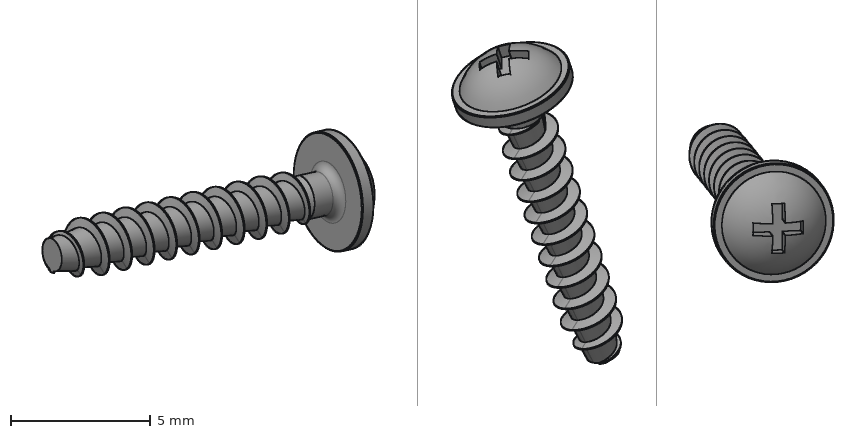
import cadquery as cq
import math


flange_radius = 2.2
flange_thickness = 0.52
flange_edge = 0.04
dome_radius = 1.9
dome_apex_y = 1.585
recess_width = 0.46
recess_span = 1.83
recess_depth = 0.7

length = 12.0
shank_radius = 0.81
shank_length = 1.12
neck_fillet = 0.33

shoulder_radius = 0.765
root_radius = 0.67
tip_shoulder_radius = 0.61
tip_root_radius = 0.59
core_taper_start = 9.4
core_taper_end = 10.4

pitch = 0.98
first_crest_y = -1.705
thread_radius = 1.1
crest_width = 0.05
flank_angle = 15.0
full_start = 0.25
start_drop_per_turn = 0.24
greatest_start_drop = 0.25
full_end = 9.1
runout_end = 10.5
last_crest_radius = 0.66

skin_start = -2.4
skin_turns = 14

lead_in_margin = 0.1
lead_in_inner_radius = 0.3
least_lead_in = 0.03

points_per_turn = 16


def crest_y(turn):
    return first_crest_y - pitch * turn


def progress(turn, start, end):
    """Fraction of the way from start to end, held at 0 before and at 1 after."""
    return min(1, max(0, (turn - start) / (end - start)))


def core_taper(turn, full_radius, tip_radius):
    fraction = progress(turn, core_taper_start, core_taper_end)
    return full_radius + (tip_radius - full_radius) * fraction


def crest_radius(turn):
    start_drop = min(greatest_start_drop, max(0, full_start - turn) * start_drop_per_turn)
    end_drop = (thread_radius - last_crest_radius) * progress(turn, full_end, runout_end)
    return thread_radius - start_drop - end_drop


def half_width(turn, radius):
    """Half the axial width of the ridge at a radius."""
    return crest_width / 2 + (crest_radius(turn) - radius) * math.tan(math.radians(flank_angle))




def root(turn):
    radius = core_taper(turn, root_radius, tip_root_radius)
    return radius, crest_y(turn) + half_width(turn, radius)


def upper_crest(turn):
    return crest_radius(turn), crest_y(turn) + crest_width / 2


def lower_crest(turn):
    return crest_radius(turn), crest_y(turn) - crest_width / 2


def shoulder(turn):
    radius = core_taper(turn, shoulder_radius, tip_shoulder_radius)
    return radius, crest_y(turn) - half_width(turn, radius)


def next_root(turn):
    return root(turn + 1)




def lead_in_bottom_y(turn):
    return crest_y(turn) + lead_in_margin


def lead_in_inner_top(turn):
    return lead_in_inner_radius, -shank_length


def lead_in_shank(turn):
    return shank_radius, -shank_length


def lead_in_root(turn):
    return root_radius, lead_in_bottom_y(turn)


def lead_in_inner_bottom(turn):
    return lead_in_inner_radius, lead_in_bottom_y(turn)




def on_screw(point, turn):
    radius, y = point
    angle = -2 * math.pi * turn
    return cq.Vector(radius * math.sin(angle), y, radius * math.cos(angle))


def rail(corner, start, end):
    """Curve that a corner traces between two turns."""
    steps = math.ceil((end - start) * points_per_turn)
    turns = [start + (end - start) * i / steps for i in range(steps + 1)]
    return cq.Edge.makeSpline([on_screw(corner(turn), turn) for turn in turns])


def ruled_faces(corners, start, end):
    """Faces between the curves of neighbouring corners."""
    rails = [rail(corner, start, end) for corner in corners]
    return [cq.Face.makeRuledSurface(a, b) for a, b in zip(rails, rails[1:])]


def flat_face(points):
    return cq.Face.makeFromWires(cq.Wire.makePolygon(points, close=True))


def solid_from(faces):
    return cq.Workplane(cq.Solid.makeSolid(cq.Shell.makeShell(faces)).fix())




def make_thread():
    """Core and ridge as one helical skin, closed at each end by a helicoid and a flat step."""
    corners = [root, upper_crest, lower_crest, shoulder, next_root]
    faces = []
    for i in range(skin_turns):
        faces += ruled_faces(corners, skin_start + i, skin_start + i + 1)
    for turn in (skin_start, skin_start + skin_turns):
        outline = [corner(turn) for corner in corners]
        axis_top = (0, root(turn)[1])
        axis_bottom = (0, next_root(turn)[1])
        step = [on_screw(point, turn) for point in [axis_top] + outline + [axis_bottom]]
        faces.append(flat_face(step))
        axis = cq.Edge.makeLine(step[0], step[-1])
        faces.append(cq.Face.makeRuledSurface(rail(root, turn, turn + 1), axis))
    threaded_length = (
        cq.Workplane("XZ", origin=(0, -shank_length, 0))
        .circle(flange_radius)
        .extrude(length - shank_length)
    )
    return solid_from(faces).intersect(threaded_length)


def make_lead_in():
    """Tapered transition from the end of the shank to the root above the first ridge."""
    start = (first_crest_y + lead_in_margin + least_lead_in + shank_length) / pitch
    end = (first_crest_y + pitch - lead_in_margin + shank_length) / pitch
    corners = [lead_in_inner_top, lead_in_shank, lead_in_root, lead_in_inner_bottom]
    faces = ruled_faces(corners + corners[:1], start, end)
    for turn in (start, end):
        faces.append(flat_face([on_screw(corner(turn), turn) for corner in corners]))
    return solid_from(faces)


def make_head_and_shank():
    """Turned body: domed head, flange with broken edges, filleted neck and plain shank."""
    dome_height = dome_apex_y - flange_thickness
    sphere_radius = (dome_radius**2 + dome_height**2) / (2 * dome_height)
    mid_radius = dome_radius / 2
    mid_y = dome_apex_y - sphere_radius + math.sqrt(sphere_radius**2 - mid_radius**2)
    fillet_mid = neck_fillet * (1 - math.sqrt(0.5))
    return (
        cq.Workplane("YZ")
        .moveTo(dome_apex_y, 0)
        .threePointArc((mid_y, mid_radius), (flange_thickness, dome_radius))
        .lineTo(flange_thickness, flange_radius - flange_edge)
        .lineTo(flange_thickness - flange_edge, flange_radius)
        .lineTo(flange_edge, flange_radius)
        .lineTo(0, flange_radius - flange_edge)
        .lineTo(0, shank_radius + neck_fillet)
        .threePointArc((-fillet_mid, shank_radius + fillet_mid), (-neck_fillet, shank_radius))
        .lineTo(-shank_length, shank_radius)
        .lineTo(-shank_length, 0)
        .close()
        .revolve(360, (0, 0), (1, 0))
    )


def make_recess():
    """Cross-shaped cutter for the driver recess, sunk from the apex of the dome."""
    apex_plane = cq.Workplane("XZ", origin=(0, dome_apex_y, 0))
    arm_along_x = apex_plane.rect(recess_span, recess_width).extrude(recess_depth)
    arm_along_z = apex_plane.rect(recess_width, recess_span).extrude(recess_depth)
    return arm_along_x.union(arm_along_z)


result = make_head_and_shank().cut(make_recess()).union(make_thread()).union(make_lead_in())